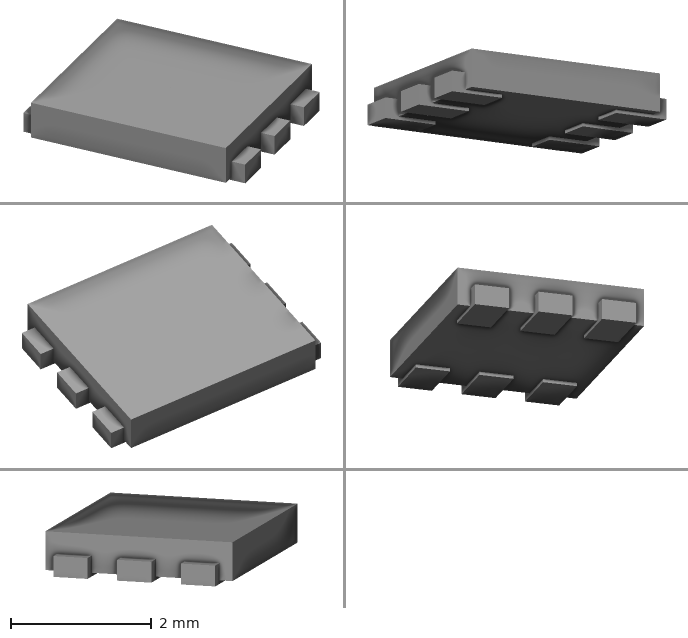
import cadquery as cq

overall_length = 3.51
body_length = 3.082
body_width = 2.79
overall_height = 0.61
standoff = 0.05

lead_length = 0.82
lead_width = 0.51
lead_height = 0.302
lead_pitch = 0.95
leads_per_side = 3

marker_diameter = 0.155
marker_depth = 0.018
marker_x = -1.24
marker_y = lead_pitch


def make_lead(side, row):
    """One lead; side is -1 or +1 along X, row counts along Y from the front."""
    x = side * (overall_length - lead_length) / 2
    y = (row - (leads_per_side - 1) / 2) * lead_pitch
    return (
        cq.Workplane("XY")
        .center(x, y)
        .rect(lead_length, lead_width)
        .extrude(lead_height)
    )


def make_marker():
    """Disc whose top face is level with the housing top."""
    return (
        cq.Workplane("XY")
        .workplane(offset=overall_height - marker_depth)
        .center(marker_x, marker_y)
        .circle(marker_diameter / 2)
        .extrude(marker_depth)
    )


def make_housing(inserts):
    """Rectangular block with a matching recess for each inserted body."""
    block = (
        cq.Workplane("XY")
        .workplane(offset=standoff)
        .rect(body_length, body_width)
        .extrude(overall_height - standoff)
    )
    for insert in inserts:
        block = block.cut(insert)
    return block


leads = [make_lead(side, row) for side in (-1, 1) for row in range(leads_per_side)]
marker = make_marker()
housing = make_housing([*leads, marker])

result = cq.Compound.makeCompound(
    [housing.val(), marker.val(), *[lead.val() for lead in leads]]
)